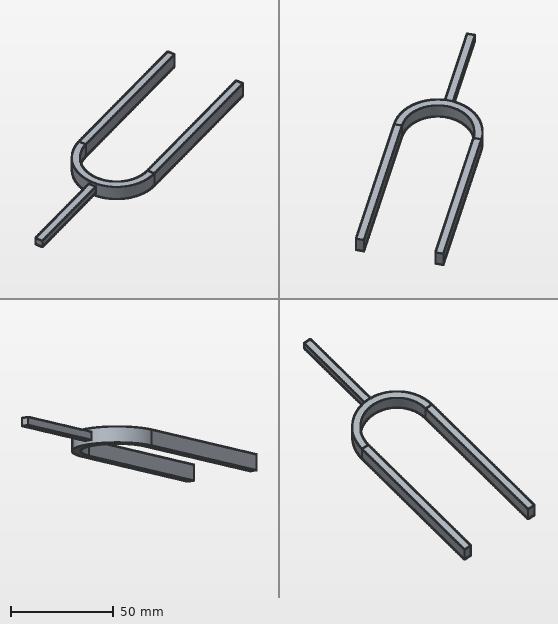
import cadquery as cq

total_length = 150.0
outer_width = 44.0
fork_height = 8.0
bar_thickness = 4.0
tine_length = 80.0
stem_size = 4.0

outer_radius = outer_width / 2
inner_radius = outer_radius - bar_thickness
tine_offset = outer_radius - bar_thickness / 2
stem_end_y = tine_length - total_length


def make_tine(side):
    """Straight tine on one side of the fork (side is -1 or 1)."""
    return (
        cq.Workplane("XY")
        .center(side * tine_offset, tine_length / 2)
        .box(bar_thickness, tine_length, fork_height)
    )


def make_bend():
    """Half ring that joins the two tines."""
    return (
        cq.Workplane("XY")
        .workplane(offset=-fork_height / 2)
        .moveTo(-outer_radius, 0)
        .threePointArc((0, -outer_radius), (outer_radius, 0))
        .lineTo(inner_radius, 0)
        .threePointArc((0, -inner_radius), (-inner_radius, 0))
        .close()
        .extrude(fork_height)
    )


def make_stem():
    """Square stem that starts inside the wall of the bend."""
    stem_start_y = -(inner_radius + outer_radius) / 2
    stem_length = stem_start_y - stem_end_y
    return (
        cq.Workplane("XY")
        .center(0, stem_end_y + stem_length / 2)
        .box(stem_size, stem_length, stem_size)
    )


handle = make_bend().union(make_stem())
tines = [make_tine(side) for side in (-1, 1)]

result = cq.Compound.makeCompound([handle.val(), *[tine.val() for tine in tines]])